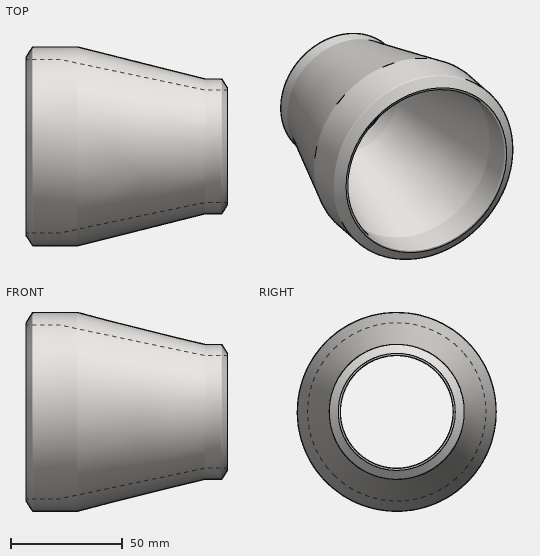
import cadquery as cq
import math

length = 90.0
large_radius = 88.9 / 2
large_bore_radius = 77.7 / 2
small_radius = 60.3 / 2
small_bore_radius = 50.3 / 2

large_straight = 23.0
small_straight = 10.0
bore_straight = 15.0
cone_end = length - small_straight

land_width = 1.0
bevel_angle = math.radians(32.5)

bevel_fillet = 0.8
cone_fillet = 1.3
lip_fillet = 0.4
edge_tolerance = 0.01


def bevel_length(outer_radius, bore_radius):
    """Axial length of the bevel on a straight end."""
    return (outer_radius - bore_radius - land_width) * math.tan(bevel_angle)


def round_edge(body, x, radius, fillet):
    """Fillet the circular edge of the given radius at position x on the axis."""
    circles = [
        edge
        for edge in body.edges("%CIRCLE").vals()
        if abs(edge.Center().x - x) < edge_tolerance
        and abs(edge.radius() - radius) < edge_tolerance
    ]
    return body.newObject(circles).fillet(fillet)


large_bevel = bevel_length(large_radius, large_bore_radius)
small_bevel = bevel_length(small_radius, small_bore_radius)

wall_section = [
    (0, large_bore_radius),
    (0, large_bore_radius + land_width),
    (large_bevel, large_radius),
    (large_straight, large_radius),
    (cone_end, small_radius),
    (length - small_bevel, small_radius),
    (length, small_bore_radius + land_width),
    (length, small_bore_radius),
    (cone_end, small_bore_radius),
    (bore_straight, large_bore_radius),
]

result = (
    cq.Workplane("XY")
    .polyline(wall_section)
    .close()
    .revolve(360, (0, 0, 0), (1, 0, 0))
)

rounded_edges = [
    (large_bevel, large_radius, bevel_fillet),
    (length - small_bevel, small_radius, bevel_fillet),
    (large_straight, large_radius, cone_fillet),
    (cone_end, small_radius, cone_fillet),
    (0, large_bore_radius, lip_fillet),
    (length, small_bore_radius, lip_fillet),
]
for x, radius, fillet in rounded_edges:
    result = round_edge(result, x, radius, fillet)